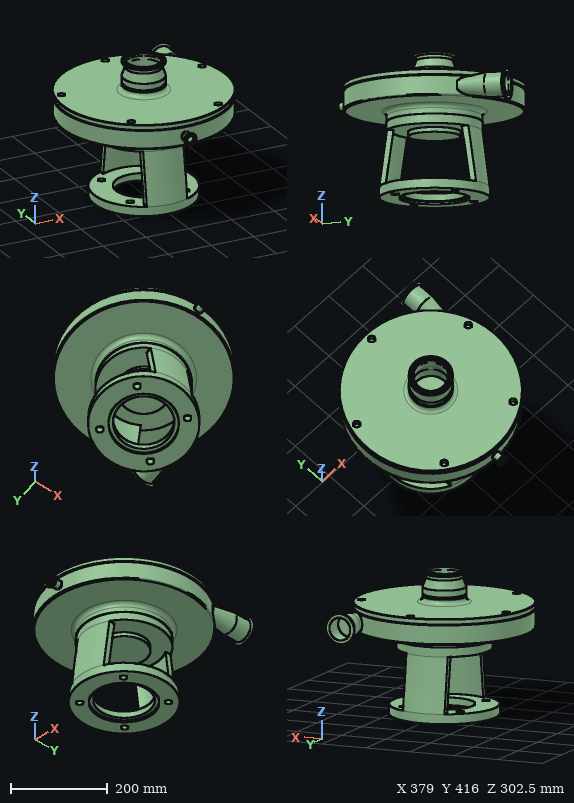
import cadquery as cq
import math


BASE_RADIUS = 115.2
BASE_HEIGHT = 21.2
BASE_BORE_RADIUS = 63.5
BASE_RECESS_RADIUS = 73.0
BASE_RECESS_DEPTH = 5.0
BASE_HOLE_RADIUS = 7.5
BASE_HOLE_CIRCLE = 92.0
BASE_HOLE_COUNT = 4
BASE_HOLE_START = 45
LEG_TOP = 139.5
LEG_WIDTH = 94.5
LEG_WALL = 12.5

BOSS_RADIUS = 54.5
BOSS_BOTTOM = 129.5
ADAPTER_RADIUS = 100.3
ADAPTER_TOP = 159.5
NECK_RADIUS = 99.5
NECK_FLARE = 10.0

CASING_RADIUS = 189.0
CASING_BOTTOM = 182.0
CASING_TOP = 225.0
CASING_BOTTOM_FILLET = 2.5
CASING_TOP_CHAMFER = 1.2

LID_RADIUS = 189.5
LID_TOP = 237.0
LID_CHAMFER = 1.0
LID_HOLE_RADIUS = 7.5
LID_HOLE_CIRCLE = 172.5
LID_HOLE_COUNT = 5
LID_HOLE_START = 90

INLET_TOP = 302.5
INLET_FLANGE_RADIUS = 45.8
INLET_FLANGE_RIM = 2.5
INLET_FLANGE_TAPER = 3.7
INLET_PIPE_RADIUS = 38.5
INLET_PIPE_BOTTOM = 288.5
INLET_COLLAR_TOP = 268.7
INLET_GROOVE_TOP = 254.0
INLET_GROOVE_BOTTOM = 249.5
INLET_GROOVE_RADIUS = 43.0
INLET_FLARE = 10.0
INLET_BORE_RADIUS = 36.0
INLET_BORE_BOTTOM = 274.0
INLET_CHAMBER_RADIUS = 40.8
INLET_SEAL_INNER = 39.5
INLET_SEAL_OUTER = 43.3
INLET_SEAL_DEPTH = 1.2

PORT_HEIGHT = 204.0
PORT_SPAN = 416.0
OUTLET_X = 145.5
OUTLET_FACE_Y = 205.0
OUTLET_FLANGE_RADIUS = 32.5
OUTLET_FLANGE_RIM = 3.5
OUTLET_FLANGE_TAPER = 3.0
OUTLET_PIPE_RADIUS = 26.0
OUTLET_BORE_RADIUS = 23.7
OUTLET_CONE_START_Y = 160.5
OUTLET_CONE_END_Y = 100.0
OUTLET_CONE_END_RADIUS = 17.0
DRAIN_FACE_Y = OUTLET_FACE_Y - PORT_SPAN
DRAIN_FLANGE_RADIUS = 13.5
DRAIN_FLANGE_RIM = 3.0
DRAIN_FLANGE_TAPER = 2.5
DRAIN_PIPE_RADIUS = 9.5
DRAIN_BORE_RADIUS = 7.5
DRAIN_ROOT_Y = -183.0
DRAIN_SEAL_INNER = 8.7
DRAIN_SEAL_OUTER = 11.0
DRAIN_SEAL_DEPTH = 1.0


def cylinder(radius, bottom, top):
    return cq.Workplane("XY").workplane(offset=bottom).circle(radius).extrude(top - bottom)


def bolt_holes(count, circle_radius, start_angle, hole_radius, bottom, top):
    """Upright cutters spaced evenly around the pump axis."""
    return (
        cq.Workplane("XY")
        .workplane(offset=bottom)
        .polarArray(circle_radius, start_angle, 360, count)
        .circle(hole_radius)
        .extrude(top - bottom)
    )


def revolve_about_y(profile, x, z):
    """Turn (radius, y) points into a round solid about the line parallel to Y through (x, z)."""
    turned = cq.Workplane("XY").polyline(profile).close().revolve(360, (0, 0, 0), (0, 1, 0))
    return turned.translate((x, 0, z))


def leg_cone(inset):
    """Cone from the base rim up to the adapter rim, made smaller in radius by the inset."""
    return (
        cq.Workplane("XY")
        .workplane(offset=BASE_HEIGHT)
        .circle(BASE_RADIUS - inset)
        .workplane(offset=LEG_TOP - BASE_HEIGHT)
        .circle(ADAPTER_RADIUS - inset)
        .loft(ruled=True)
    )


def make_stand():
    base = cylinder(BASE_RADIUS, 0, BASE_HEIGHT).cut(cylinder(BASE_BORE_RADIUS, 0, BASE_HEIGHT))
    base = base.cut(cylinder(BASE_RECESS_RADIUS, 0, BASE_RECESS_DEPTH))
    base = base.cut(
        bolt_holes(BASE_HOLE_COUNT, BASE_HOLE_CIRCLE, BASE_HOLE_START, BASE_HOLE_RADIUS, 0, BASE_HEIGHT)
    )
    leg_strip = cq.Workplane("XY").box(LEG_WIDTH, 2 * BASE_RADIUS, LEG_TOP, centered=(True, True, False))
    legs = leg_cone(0).cut(leg_cone(LEG_WALL)).intersect(leg_strip)
    return base.union(legs)


def make_adapter():
    boss = cylinder(BOSS_RADIUS, BOSS_BOTTOM, LEG_TOP)
    flange = cylinder(ADAPTER_RADIUS, LEG_TOP, ADAPTER_TOP)
    arc_center = (NECK_RADIUS + NECK_FLARE, CASING_BOTTOM - NECK_FLARE)
    arc_reach = NECK_FLARE * math.sqrt(0.5)
    neck = (
        cq.Workplane("XZ")
        .moveTo(0, ADAPTER_TOP)
        .lineTo(NECK_RADIUS, ADAPTER_TOP)
        .lineTo(NECK_RADIUS, arc_center[1])
        .threePointArc(
            (arc_center[0] - arc_reach, arc_center[1] + arc_reach), (arc_center[0], CASING_BOTTOM)
        )
        .lineTo(0, CASING_BOTTOM)
        .close()
        .revolve(360, (0, 0, 0), (0, 1, 0))
    )
    return boss.union(flange).union(neck)


def make_outlet():
    rim_y = OUTLET_FACE_Y - OUTLET_FLANGE_RIM
    profile = [
        (0, OUTLET_FACE_Y),
        (OUTLET_FLANGE_RADIUS, OUTLET_FACE_Y),
        (OUTLET_FLANGE_RADIUS, rim_y),
        (OUTLET_PIPE_RADIUS, rim_y - OUTLET_FLANGE_TAPER),
        (OUTLET_PIPE_RADIUS, OUTLET_CONE_START_Y),
        (OUTLET_CONE_END_RADIUS, OUTLET_CONE_END_Y),
        (0, OUTLET_CONE_END_Y),
    ]
    return revolve_about_y(profile, OUTLET_X, PORT_HEIGHT)


def make_outlet_bore():
    """Cutter as long as the straight part of the outlet pipe."""
    profile = [
        (0, OUTLET_FACE_Y),
        (OUTLET_BORE_RADIUS, OUTLET_FACE_Y),
        (OUTLET_BORE_RADIUS, OUTLET_CONE_START_Y),
        (0, OUTLET_CONE_START_Y),
    ]
    return revolve_about_y(profile, OUTLET_X, PORT_HEIGHT)


def make_drain():
    rim_y = DRAIN_FACE_Y + DRAIN_FLANGE_RIM
    profile = [
        (0, DRAIN_FACE_Y),
        (DRAIN_FLANGE_RADIUS, DRAIN_FACE_Y),
        (DRAIN_FLANGE_RADIUS, rim_y),
        (DRAIN_PIPE_RADIUS, rim_y + DRAIN_FLANGE_TAPER),
        (DRAIN_PIPE_RADIUS, DRAIN_ROOT_Y),
        (0, DRAIN_ROOT_Y),
    ]
    return revolve_about_y(profile, 0, PORT_HEIGHT)


def make_drain_bore():
    """Cutter from the drain face to the side of the casing."""
    profile = [
        (0, DRAIN_FACE_Y),
        (DRAIN_BORE_RADIUS, DRAIN_FACE_Y),
        (DRAIN_BORE_RADIUS, -CASING_RADIUS),
        (0, -CASING_RADIUS),
    ]
    return revolve_about_y(profile, 0, PORT_HEIGHT)


def make_drain_seal_groove():
    """Ring cutter in the face of the drain flange."""
    groove_bottom_y = DRAIN_FACE_Y + DRAIN_SEAL_DEPTH
    profile = [
        (DRAIN_SEAL_INNER, DRAIN_FACE_Y),
        (DRAIN_SEAL_OUTER, DRAIN_FACE_Y),
        (DRAIN_SEAL_OUTER, groove_bottom_y),
        (DRAIN_SEAL_INNER, groove_bottom_y),
    ]
    return revolve_about_y(profile, 0, PORT_HEIGHT)


def make_casing():
    drum = cylinder(CASING_RADIUS, CASING_BOTTOM, CASING_TOP)
    drum = drum.faces("<Z").edges().fillet(CASING_BOTTOM_FILLET)
    drum = drum.faces(">Z").edges().chamfer(CASING_TOP_CHAMFER)
    body = drum.union(make_adapter()).union(make_stand())
    body = body.union(make_outlet()).union(make_drain())
    body = body.cut(make_outlet_bore()).cut(make_drain_bore())
    return body.cut(make_drain_seal_groove())


def make_inlet():
    """Clamp flange, pipe, conical reducer, collar, V groove and flared foot, as one turned shape."""
    rim_z = INLET_TOP - INLET_FLANGE_RIM
    foot_radius = INLET_FLANGE_RADIUS
    arc_center = (foot_radius + INLET_FLARE, LID_TOP + INLET_FLARE)
    arc_reach = INLET_FLARE * math.sqrt(0.5)
    return (
        cq.Workplane("XZ")
        .moveTo(0, INLET_TOP)
        .lineTo(INLET_FLANGE_RADIUS, INLET_TOP)
        .lineTo(INLET_FLANGE_RADIUS, rim_z)
        .lineTo(INLET_PIPE_RADIUS, rim_z - INLET_FLANGE_TAPER)
        .lineTo(INLET_PIPE_RADIUS, INLET_PIPE_BOTTOM)
        .lineTo(foot_radius, INLET_COLLAR_TOP)
        .lineTo(foot_radius, INLET_GROOVE_TOP)
        .lineTo(INLET_GROOVE_RADIUS, (INLET_GROOVE_TOP + INLET_GROOVE_BOTTOM) / 2)
        .lineTo(foot_radius, INLET_GROOVE_BOTTOM)
        .lineTo(foot_radius, arc_center[1])
        .threePointArc((arc_center[0] - arc_reach, arc_center[1] - arc_reach), (arc_center[0], LID_TOP))
        .lineTo(0, LID_TOP)
        .close()
        .revolve(360, (0, 0, 0), (0, 1, 0))
    )


def make_inlet_bore():
    """Cutter through the inlet and the lid, wider below the pipe."""
    profile = [
        (0, INLET_TOP),
        (INLET_BORE_RADIUS, INLET_TOP),
        (INLET_BORE_RADIUS, INLET_BORE_BOTTOM),
        (INLET_CHAMBER_RADIUS, INLET_GROOVE_TOP),
        (INLET_CHAMBER_RADIUS, CASING_TOP),
        (0, CASING_TOP),
    ]
    return cq.Workplane("XZ").polyline(profile).close().revolve(360, (0, 0, 0), (0, 1, 0))


def make_inlet_seal_groove():
    """Ring cutter in the face of the inlet flange."""
    groove_bottom = INLET_TOP - INLET_SEAL_DEPTH
    outer = cylinder(INLET_SEAL_OUTER, groove_bottom, INLET_TOP)
    return outer.cut(cylinder(INLET_SEAL_INNER, groove_bottom, INLET_TOP))


def make_lid():
    plate = cylinder(LID_RADIUS, CASING_TOP, LID_TOP).edges().chamfer(LID_CHAMFER)
    holes = bolt_holes(
        LID_HOLE_COUNT, LID_HOLE_CIRCLE, LID_HOLE_START, LID_HOLE_RADIUS, CASING_TOP, LID_TOP
    )
    return plate.cut(holes).union(make_inlet()).cut(make_inlet_bore()).cut(make_inlet_seal_groove())


casing = make_casing()
lid = make_lid()
result = cq.Compound.makeCompound([casing.val(), lid.val()])